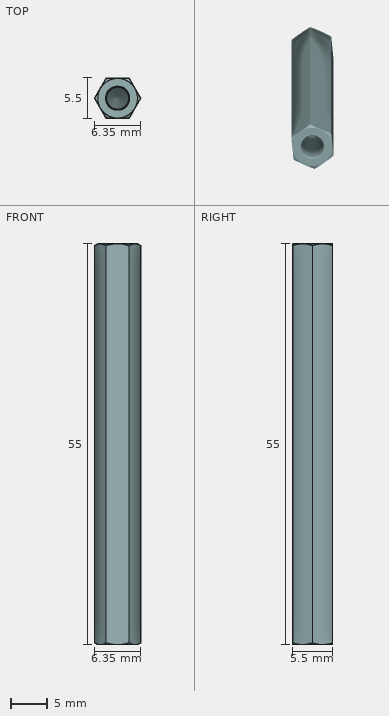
import cadquery as cq
import math

length = 55.0
across_flats = 5.5
across_corners = across_flats / math.cos(math.pi / 6)

end_face_diameter = 5.45
corner_chamfer_angle = 30.0

hole_diameter = 3.0
hole_depth = 11.0
drill_point_angle = 120.0
mouth_diameter = 3.3
mouth_depth = 0.2


def make_hex_bar():
    """Hexagon with corners on the X axis, its end corners trimmed by a cone."""
    bar = cq.Workplane("XY").polygon(6, across_corners).extrude(length)
    end_radius = end_face_diameter / 2
    cone_radius = across_corners
    cone_height = (cone_radius - end_radius) * math.tan(math.radians(corner_chamfer_angle))
    envelope = (
        cq.Workplane("XZ")
        .moveTo(0, 0)
        .lineTo(end_radius, 0)
        .lineTo(cone_radius, cone_height)
        .lineTo(cone_radius, length - cone_height)
        .lineTo(end_radius, length)
        .lineTo(0, length)
        .close()
        .revolve(360, (0, 0, 0), (0, 1, 0))
    )
    return bar.intersect(envelope)


def make_top_hole():
    """Drilled hole from the top, with a countersunk mouth."""
    hole_radius = hole_diameter / 2
    mouth_radius = mouth_diameter / 2
    floor = length - hole_depth
    point_height = hole_radius / math.tan(math.radians(drill_point_angle / 2))
    return (
        cq.Workplane("XZ")
        .moveTo(0, floor - point_height)
        .lineTo(hole_radius, floor)
        .lineTo(hole_radius, length - mouth_depth)
        .lineTo(mouth_radius, length)
        .lineTo(0, length)
        .close()
        .revolve(360, (0, 0, 0), (0, 1, 0))
    )


top_hole = make_top_hole()
bottom_hole = top_hole.mirror("XY", (0, 0, length / 2))
result = make_hex_bar().cut(top_hole).cut(bottom_hole)